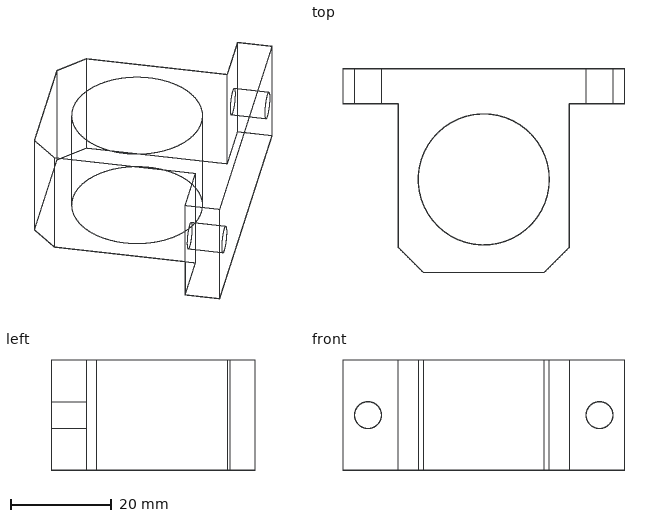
import cadquery as cq

flange_width = 56.0
depth = 40.5
height = 22.0

flange_thickness = 7.0
block_width = 34.0
corner_chamfer = 5.0
bore_diameter = 26.0
bore_to_back = 22.0

mount_hole_diameter = 5.3
mount_hole_spacing = 46.0

back_y = bore_to_back
front_y = back_y - depth


def make_flange():
    """Mounting plate along the back of the part."""
    return (
        cq.Workplane("XY")
        .center(0, back_y - flange_thickness / 2)
        .rect(flange_width, flange_thickness)
        .extrude(height)
    )


def make_block():
    """Bearing block with its two front upright corners chamfered."""
    return (
        cq.Workplane("XY")
        .center(0, (front_y + back_y) / 2)
        .rect(block_width, depth)
        .extrude(height)
        .faces("<Y")
        .edges("|Z")
        .chamfer(corner_chamfer)
    )


def make_bore():
    """Vertical through bore."""
    return cq.Workplane("XY").circle(bore_diameter / 2).extrude(height)


def make_mount_holes():
    """Through holes along Y, one in each ear at mid height."""
    half_spacing = mount_hole_spacing / 2
    return (
        cq.Workplane("XZ", origin=(0, back_y, height / 2))
        .pushPoints([(-half_spacing, 0), (half_spacing, 0)])
        .circle(mount_hole_diameter / 2)
        .extrude(flange_thickness)
    )


result = make_flange().union(make_block()).cut(make_bore()).cut(make_mount_holes())